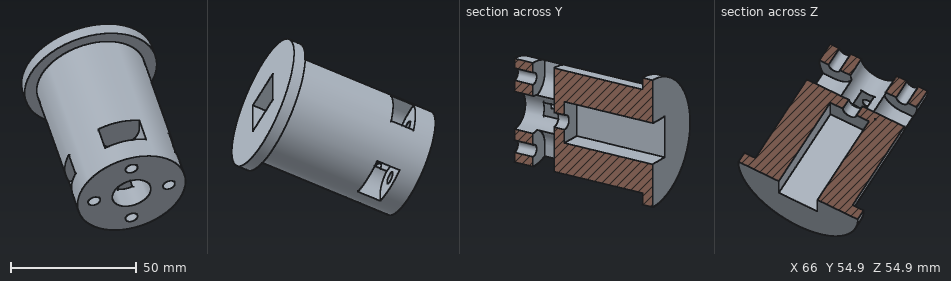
import cadquery as cq

length = 66.0
flange_diameter = 54.9
flange_thickness = 5.0
body_diameter = 44.9

socket_side = 17.55
bore_diameter = 6.1
recess_diameter = 16.0
web_thickness = flange_thickness

pocket_start = 47.0
pocket_length = 10.0
pocket_width = 17.0
pocket_center_radius = 15.5
pin_diameter = 5.0
pocket_count = 4


def make_body():
    flange = cq.Workplane("YZ").circle(flange_diameter / 2).extrude(flange_thickness)
    barrel = cq.Workplane("YZ").circle(body_diameter / 2).extrude(length)
    return flange.union(barrel)


def make_core():
    """Stepped cavity on the axis: square socket, bore, and round recess level with the pockets."""
    socket_depth = pocket_start - web_thickness
    socket = cq.Workplane("YZ").rect(socket_side, socket_side).extrude(socket_depth)
    bore = cq.Workplane("YZ").circle(bore_diameter / 2).extrude(length)
    recess = (
        cq.Workplane("YZ", origin=(pocket_start, 0, 0))
        .circle(recess_diameter / 2)
        .extrude(length - pocket_start)
    )
    return socket.union(bore).union(recess)


def make_pocket():
    """U-shaped pocket opening toward +Y, with its round floor breaking into the axial recess."""
    plane = cq.Workplane("YZ", origin=(pocket_start, 0, 0))
    floor = plane.center(pocket_center_radius, 0).circle(pocket_width / 2).extrude(pocket_length)
    mouth_depth = body_diameter / 2 - pocket_center_radius
    mouth = (
        plane.center(pocket_center_radius + mouth_depth / 2, 0)
        .rect(mouth_depth, pocket_width)
        .extrude(pocket_length)
    )
    pin_hole = (
        plane.center(pocket_center_radius, 0)
        .circle(pin_diameter / 2)
        .extrude(length - pocket_start)
    )
    return floor.union(mouth).union(pin_hole)


result = make_body().cut(make_core())
for index in range(pocket_count):
    angle = index * 360 / pocket_count
    result = result.cut(make_pocket().rotate((0, 0, 0), (1, 0, 0), angle))